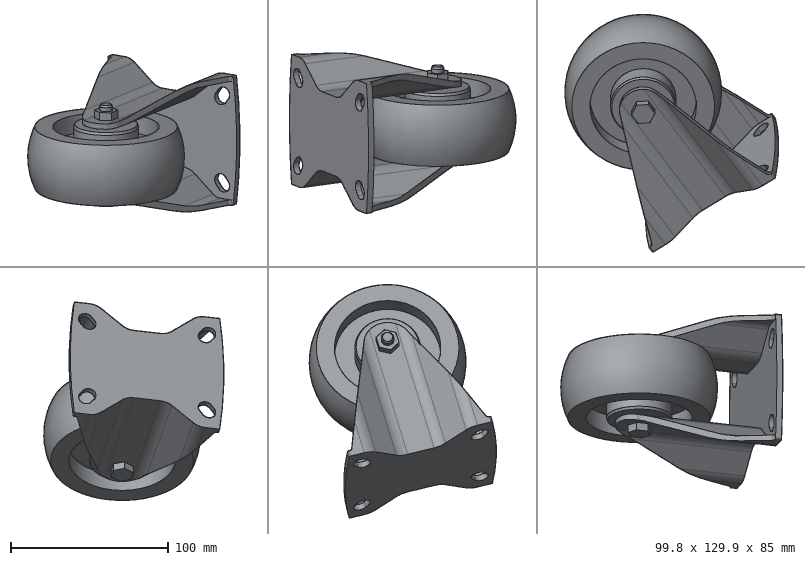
import cadquery as cq
import math


wheel_radius = 49.9
wheel_edge_radius = 45.3
wheel_half_width = 20.0
rim_bore_radius = 67.5 / 2
web_half_thickness = 8.0
hub_radius = 41.5 / 2
hub_half_length = 21.5
hub_chamfer_width = 0.8
hub_chamfer_height = 1.7

overall_length = 129.9
plate_back = overall_length - wheel_radius
plate_thickness = 4.0
plate_front = plate_back - plate_thickness
plate_half_height = 85.0 / 2
plate_half_width = 99.6 / 2
plate_corner_x = 47.1
plate_corner_radius = 0.9

slot_width = 9.1
slot_outer_end = (39.9, 30.0)
slot_inner_end = (37.8, 27.3)

sheet_thickness = 3.5
leg_inner_z = 22.3
leg_outer_z = leg_inner_z + sheet_thickness
bend_radius = 11.7
lower_bend_start_x = 8.7
upper_bend_end_x = 37.3
leg_tip_radius = 15.1
leg_root_half_width = 44.7
leg_root_fillet = 2.0

spacer_radius = 15.0 / 2
nut_across_flats = 13
nut_height = 5.1
bolt_radius = 8.0 / 2
bolt_top = 34.8
bolt_chamfer_width = 0.8
bolt_chamfer_height = 1.3


def polar(center, radius, angle):
    """Point at an angle in radians from +X on a circle."""
    return (center[0] + radius * math.cos(angle), center[1] + radius * math.sin(angle))


lower_bend_center = (lower_bend_start_x, leg_outer_z + bend_radius)
upper_bend_center = (upper_bend_end_x, plate_half_height - bend_radius)
centers_run = upper_bend_center[0] - lower_bend_center[0]
centers_rise = upper_bend_center[1] - lower_bend_center[1]
centers_gap = math.hypot(centers_run, centers_rise)
slope_angle = math.atan2(centers_rise, centers_run) + math.asin(2 * bend_radius / centers_gap)


def bend_points(depth):
    """Points along one half of the leg's bent surface, at a depth below its outer face.

    Start, middle and end of the lower bend, then of the upper bend.
    """
    lower_radius = bend_radius + depth
    upper_radius = bend_radius - depth
    down = -math.pi / 2
    up = math.pi / 2
    angles = (0, slope_angle / 2, slope_angle)
    lower = [polar(lower_bend_center, lower_radius, down + a) for a in angles]
    upper = [polar(upper_bend_center, upper_radius, up + a) for a in reversed(angles)]
    return lower + upper


def make_wheel():
    profile = (
        cq.Workplane("XZ")
        .moveTo(0, -hub_half_length)
        .lineTo(hub_radius - hub_chamfer_width, -hub_half_length)
        .lineTo(hub_radius, -hub_half_length + hub_chamfer_height)
        .lineTo(hub_radius, -web_half_thickness)
        .lineTo(rim_bore_radius, -web_half_thickness)
        .lineTo(rim_bore_radius, -wheel_half_width)
        .lineTo(wheel_edge_radius, -wheel_half_width)
        .threePointArc((wheel_radius, 0), (wheel_edge_radius, wheel_half_width))
        .lineTo(rim_bore_radius, wheel_half_width)
        .lineTo(rim_bore_radius, web_half_thickness)
        .lineTo(hub_radius, web_half_thickness)
        .lineTo(hub_radius, hub_half_length - hub_chamfer_height)
        .lineTo(hub_radius - hub_chamfer_width, hub_half_length)
        .lineTo(0, hub_half_length)
        .close()
    )
    return profile.revolve(360, (0, 0, 0), (0, 1, 0))


def make_valley():
    """Space above the upper leg's outer face, reaching through the plate."""
    outer = bend_points(0)
    return (
        cq.Workplane("XZ", origin=(0, plate_back, 0))
        .moveTo(0, leg_outer_z)
        .lineTo(*outer[0])
        .threePointArc(outer[1], outer[2])
        .lineTo(*outer[3])
        .threePointArc(outer[4], outer[5])
        .lineTo(0, plate_half_height)
        .mirrorY()
        .extrude(plate_thickness)
    )


def make_slot(side_x, side_z):
    run = slot_outer_end[0] - slot_inner_end[0]
    rise = slot_outer_end[1] - slot_inner_end[1]
    middle_x = (slot_outer_end[0] + slot_inner_end[0]) / 2
    middle_z = (slot_outer_end[1] + slot_inner_end[1]) / 2
    tilt = math.degrees(math.atan2(side_z * rise, side_x * run))
    return (
        cq.Workplane("XZ", origin=(0, plate_back, 0))
        .center(side_x * middle_x, side_z * middle_z)
        .slot2D(math.hypot(run, rise) + slot_width, slot_width, tilt)
        .extrude(plate_thickness)
    )


def make_plate():
    plate = (
        cq.Workplane("XZ", origin=(0, plate_back, 0))
        .moveTo(-plate_corner_x, -plate_half_height)
        .lineTo(plate_corner_x, -plate_half_height)
        .threePointArc((plate_half_width, 0), (plate_corner_x, plate_half_height))
        .lineTo(-plate_corner_x, plate_half_height)
        .threePointArc((-plate_half_width, 0), (-plate_corner_x, -plate_half_height))
        .close()
        .extrude(plate_thickness)
        .edges("|Y")
        .fillet(plate_corner_radius)
    )
    valley = make_valley()
    plate = plate.cut(valley).cut(valley.mirror("XY"))
    for side_x in (-1, 1):
        for side_z in (-1, 1):
            plate = plate.cut(make_slot(side_x, side_z))
    return plate


def make_leg():
    """Upper leg: the bent sheet trimmed to a tapering outline with a round tip."""
    outer = bend_points(0)
    inner = bend_points(sheet_thickness)
    sheet = (
        cq.Workplane("XZ", origin=(0, plate_back, 0))
        .moveTo(0, leg_outer_z)
        .lineTo(*outer[0])
        .threePointArc(outer[1], outer[2])
        .lineTo(*outer[3])
        .threePointArc(outer[4], outer[5])
        .lineTo(plate_half_width, plate_half_height)
        .lineTo(plate_half_width, plate_half_height - sheet_thickness)
        .lineTo(*inner[5])
        .threePointArc(inner[4], inner[3])
        .lineTo(*inner[2])
        .threePointArc(inner[1], inner[0])
        .lineTo(0, leg_inner_z)
        .mirrorY()
        .extrude(plate_back + leg_tip_radius)
    )

    root_distance = math.hypot(leg_root_half_width, plate_front)
    taper = math.atan2(leg_root_half_width, plate_front) - math.asin(leg_tip_radius / root_distance)
    setback = leg_root_fillet * math.tan((math.pi / 2 - taper) / 2)
    fillet_start = (
        leg_root_half_width - setback * math.sin(taper),
        plate_front - setback * math.cos(taper),
    )
    outline = (
        cq.Workplane("XY")
        .moveTo(0, -leg_tip_radius)
        .threePointArc(
            polar((0, 0), leg_tip_radius, -(math.pi / 2 + taper) / 2),
            polar((0, 0), leg_tip_radius, -taper),
        )
        .lineTo(*fillet_start)
        .tangentArcPoint((leg_root_half_width + setback, plate_front), relative=False)
        .lineTo(0, plate_front)
        .mirrorY()
        .extrude(plate_half_height)
    )
    return sheet.intersect(outline)


def make_axle():
    spacers = cq.Workplane("XY").circle(spacer_radius).extrude(leg_inner_z, both=True)
    nut_diameter = nut_across_flats / math.cos(math.pi / 6)
    nut = (
        cq.Workplane("XY", origin=(0, 0, leg_outer_z))
        .polygon(6, nut_diameter)
        .extrude(nut_height)
        .rotate((0, 0, 0), (0, 0, 1), 30)
    )
    bolt = (
        cq.Workplane("XY")
        .circle(bolt_radius)
        .extrude(bolt_top)
        .faces(">Z")
        .chamfer(bolt_chamfer_height, bolt_chamfer_width)
    )
    return spacers.union(nut).union(nut.mirror("XY")).union(bolt)


leg = make_leg()
result = make_plate().union(leg).union(leg.mirror("XY")).union(make_wheel()).union(make_axle())